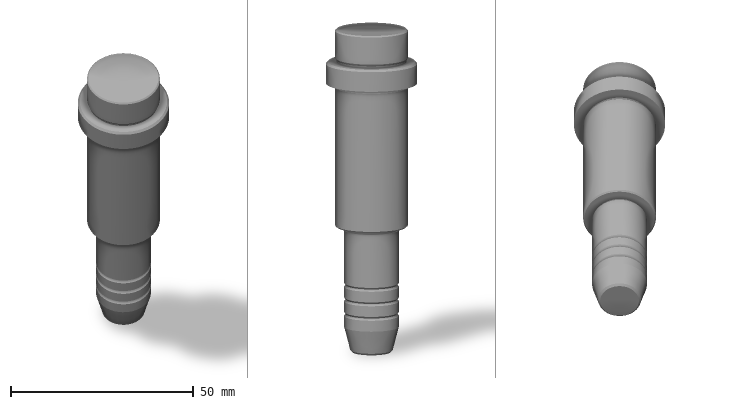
import cadquery as cq

total_height = 90.0
collar_top = 81.0
collar_bottom = 75.0
body_bottom = 35.0
neck_bottom = 34.0
taper_top = 7.0

body_diameter = 20.0
collar_diameter = 25.0
stem_diameter = 15.0
neck_diameter = 14.0
tip_diameter = 11.7

head_chamfer = 0.4
collar_chamfer = 0.5
body_chamfer = 0.4
tip_chamfer = 0.5
undercut_depth = 0.4
undercut_flat = 0.5
undercut_ramp = 0.5

groove_count = 3
lowest_groove_height = 10.6
groove_spacing = 4.05
groove_half_width = 0.5
groove_depth = 0.5

body_radius = body_diameter / 2
collar_radius = collar_diameter / 2
stem_radius = stem_diameter / 2
neck_radius = neck_diameter / 2
tip_radius = tip_diameter / 2
undercut_radius = body_radius - undercut_depth
undercut_height = undercut_flat + undercut_ramp


def revolve_profile(points):
    """Turn a closed (radius, height) outline around the Z axis."""
    outline = cq.Workplane("XZ").polyline(points).close()
    return outline.revolve(360, (0, 0, 0), (0, 1, 0))


def make_groove(height):
    """Ring with a triangular section that cuts one V-groove into the stem."""
    overshoot = 2.0
    outer_radius = stem_radius + (overshoot - 1) * groove_depth
    outer_half_width = overshoot * groove_half_width
    return revolve_profile([
        (stem_radius - groove_depth, height),
        (outer_radius, height - outer_half_width),
        (outer_radius, height + outer_half_width),
    ])


result = revolve_profile([
    (0, 0),
    (tip_radius - tip_chamfer, 0),
    (tip_radius, tip_chamfer),
    (stem_radius, taper_top),
    (stem_radius, neck_bottom),
    (neck_radius, neck_bottom),
    (neck_radius, body_bottom),
    (body_radius - body_chamfer, body_bottom),
    (body_radius, body_bottom + body_chamfer),
    (body_radius, collar_bottom - undercut_height),
    (undercut_radius, collar_bottom - undercut_flat),
    (undercut_radius, collar_bottom),
    (collar_radius, collar_bottom),
    (collar_radius, collar_top - collar_chamfer),
    (collar_radius - collar_chamfer, collar_top),
    (undercut_radius, collar_top),
    (undercut_radius, collar_top + undercut_flat),
    (body_radius, collar_top + undercut_height),
    (body_radius, total_height - head_chamfer),
    (body_radius - head_chamfer, total_height),
    (0, total_height),
])

for index in range(groove_count):
    result = result.cut(make_groove(lowest_groove_height + index * groove_spacing))